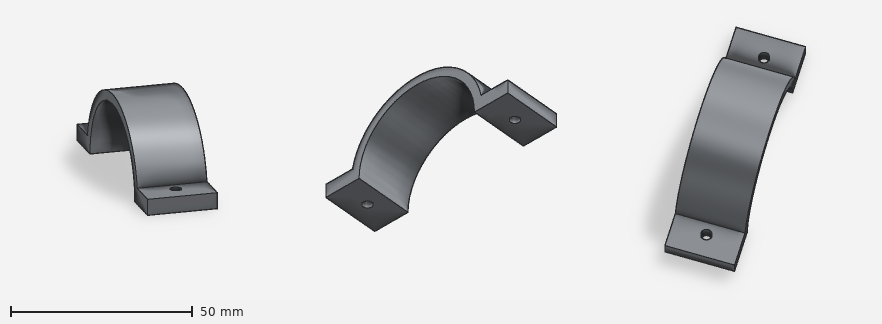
import cadquery as cq

length = 67.6
width = 20.0
height = 24.3

arch_thickness = 2.9
outer_radius = height
inner_radius = outer_radius - arch_thickness

foot_height = 4.65
hole_diameter = 3.1
hole_spacing = 54.7


def upper_half_cylinder(radius):
    """Half cylinder above the base plane, with its axis along Y."""
    return (
        cq.Workplane("XZ")
        .moveTo(-radius, 0)
        .threePointArc((0, radius), (radius, 0))
        .close()
        .extrude(width / 2, both=True)
    )


feet = cq.Workplane("XY").box(length, width, foot_height, centered=(True, True, False))
clamp = feet.union(upper_half_cylinder(outer_radius)).cut(upper_half_cylinder(inner_radius))

screw_holes = (
    cq.Workplane("XY")
    .pushPoints([(side * hole_spacing / 2, 0) for side in (-1, 1)])
    .circle(hole_diameter / 2)
    .extrude(foot_height)
)

result = clamp.cut(screw_holes)